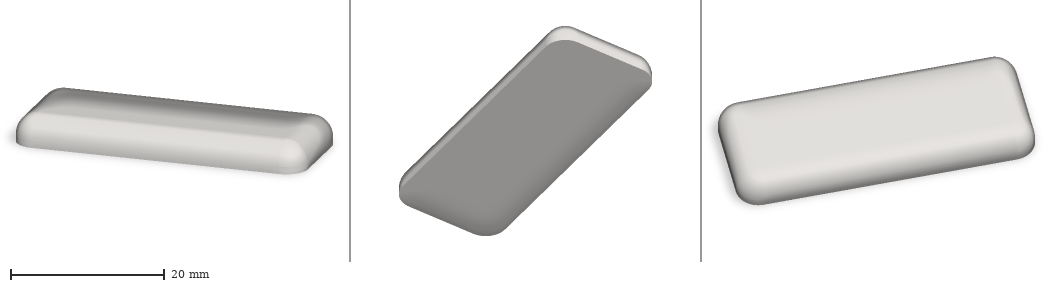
import cadquery as cq

length = 40.0
width = 16.0
height = 4.0
edge_radius = 3.0


def rounded_block():
    """Block resting on Z = 0 with rounded upright corners and a rounded top rim."""
    block = cq.Workplane("XY").box(length, width, height, centered=(True, True, False))
    upright_and_top_edges = block.edges("|Z or >Z")
    return upright_and_top_edges.fillet(edge_radius)


result = rounded_block()